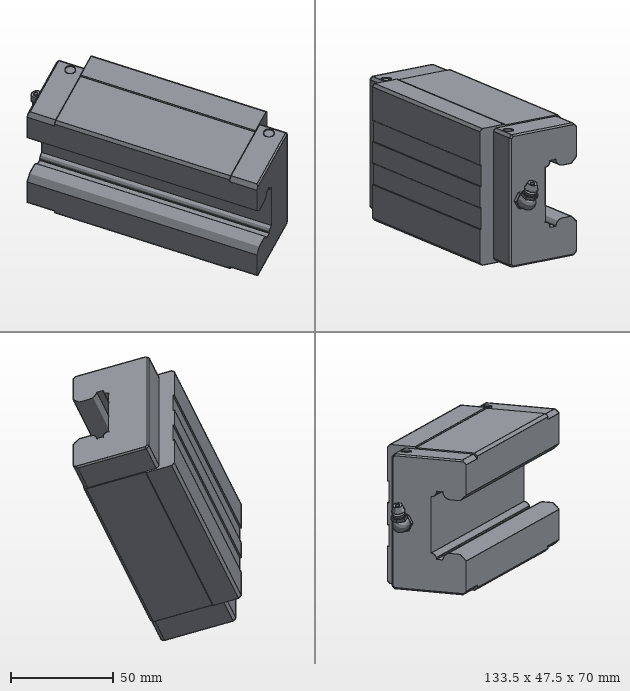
import cadquery as cq
import math


block_length = 93.1
cap_length = 14.5
body_length = block_length + 2 * cap_length

block_depth = 47.5
block_height = 70.0
block_chamfer = 1.5
side_relief = 0.47
side_relief_depth = 32.9

cap_depth = 39.5
cap_height = 67.9
cap_front_chamfer = 2.1
cap_back_chamfer = 1.5
cap_end_chamfer = 0.8

groove_inner = 5.5
groove_outer = 16.4
groove_depth = 0.8

channel_depth = 18.6
floor_half_height = 14.2
floor_race_radius = 3.0
pocket_half_height = 17.1
pocket_back = 15.8
pocket_front = 12.4
pocket_wall = 0.8
lip_half_height = 13.5
lip_back = 8.4
lip_front = 3.2
lip_race_radius = 4.1
lip_edge_radius = 0.8
mouth_half_height = 16.5

recess_diameter = 5.2
recess_depth = 0.7
recess_from_end = 8.3
recess_from_front = 35.0

nipple_from_front = 32.6
nipple_tilt = 20.0
base_hex_flats = 7.9
base_hex_length = 2.0
elbow_radius = 3.9
elbow_length = 5.3
stem_radius = 2.4
nut_flats = 7.1
nut_start = 3.5
nut_end = 5.6
nut_chamfer = 0.4
collar_radius = 3.1
collar_end = 6.7
neck_radius = 1.2
head_start = 8.1
head_end = 11.4
head_start_radius = 3.3
head_end_radius = 2.3
bore_radius = 1.1
bore_depth = 0.3


def section_plane(x):
    """Plane across the length at the given X, with local axes along Y and Z."""
    return cq.Workplane(cq.Plane(origin=(x, 0, 0), xDir=(0, 1, 0), normal=(1, 0, 0)))


def bar(depth, height, length):
    """Rectangular bar centred in X and Z with its front face at Y = 0."""
    return cq.Workplane("XY").box(length, depth, height, centered=(True, False, True))


def make_block():
    block = bar(block_depth, block_height, block_length)
    block = block.edges("|X and >Y").chamfer(block_chamfer)

    half_height = block_height / 2
    relief = (
        section_plane(0)
        .moveTo(0, half_height)
        .lineTo(0, half_height - side_relief)
        .lineTo(side_relief_depth - side_relief, half_height - side_relief)
        .lineTo(side_relief_depth, half_height)
        .close()
        .extrude(block_length / 2, both=True)
    )
    block = block.cut(relief).cut(relief.mirror("XY"))

    for side in (-1, 1):
        groove = bar(groove_depth, groove_outer - groove_inner, block_length)
        groove_middle = (groove_outer + groove_inner) / 2
        block = block.cut(groove.translate((0, block_depth - groove_depth, side * groove_middle)))
    return block.edges("|X and <Y").chamfer(block_chamfer)


def make_cap():
    """End cap for the +X end; its outer end is chamfered except along the front."""
    cap = bar(cap_depth, cap_height, cap_length)
    cap = cap.edges("|X and >Y").chamfer(cap_back_chamfer)
    cap = cap.faces(">X").edges("not <Y").chamfer(cap_end_chamfer)
    front_trim = bar(cap_depth, cap_height, cap_length).edges("|X and <Y").chamfer(cap_front_chamfer)
    cap = cap.intersect(front_trim)
    recess = (
        cq.Workplane("XY", origin=(cap_length / 2 - recess_from_end, recess_from_front, cap_height / 2))
        .circle(recess_diameter / 2)
        .extrude(-recess_depth)
    )
    return cap.cut(recess).translate(((block_length + cap_length) / 2, 0, 0))


def make_channel():
    """Cutter for the rail channel: its upper half and the mirror image."""
    half = (
        section_plane(0)
        .moveTo(0, 0)
        .lineTo(channel_depth, 0)
        .lineTo(channel_depth, floor_half_height)
        .radiusArc((pocket_back, pocket_half_height - pocket_wall), floor_race_radius)
        .lineTo(pocket_back, pocket_half_height)
        .lineTo(pocket_front, pocket_half_height)
        .radiusArc((lip_back, lip_half_height), lip_race_radius)
        .lineTo(lip_front, lip_half_height)
        .lineTo(0, mouth_half_height)
        .close()
        .extrude(body_length / 2, both=True)
    )
    lip_edge = cq.selectors.NearestToPointSelector((0, lip_front, lip_half_height))
    half = half.edges(lip_edge).fillet(lip_edge_radius)
    return half.union(half.mirror("XY"))


def hexagon(workplane, flats):
    return workplane.polygon(6, flats / math.cos(math.pi / 6))


def make_nipple():
    """Nipple with its elbow centre at the origin and its base running along +X."""
    base = section_plane(0).circle(elbow_radius).extrude(elbow_length)
    base_start = elbow_length - base_hex_length
    base_hex = hexagon(section_plane(base_start), base_hex_flats)
    base = base.union(base_hex.extrude(base_hex_length))
    elbow = cq.Workplane("XY").sphere(elbow_radius)

    stem = (
        cq.Workplane("XZ")
        .lineTo(stem_radius, 0)
        .lineTo(stem_radius, nut_end)
        .lineTo(collar_radius, nut_end)
        .lineTo(collar_radius, collar_end)
        .lineTo(neck_radius, collar_end)
        .lineTo(neck_radius, head_start)
        .lineTo(head_start_radius, head_start)
        .lineTo(head_end_radius, head_end)
        .lineTo(bore_radius, head_end)
        .lineTo(bore_radius, head_end - bore_depth)
        .lineTo(0, head_end - bore_depth)
        .close()
        .revolve(360, (0, 0, 0), (0, 1, 0))
    )
    nut = hexagon(cq.Workplane("XY").workplane(offset=nut_start), nut_flats).extrude(nut_end - nut_start)
    nut = nut.faces(">Z").chamfer(nut_chamfer)
    stem = stem.union(nut)
    stem = stem.rotate((0, 0, 0), (0, 1, 0), -nipple_tilt)
    return base.union(elbow).union(stem)


right_cap = make_cap()
left_cap = right_cap.mirror("YZ")
nipple = make_nipple().translate((-body_length / 2 - elbow_length, nipple_from_front, 0))

result = make_block().union(right_cap).union(left_cap).cut(make_channel()).union(nipple)